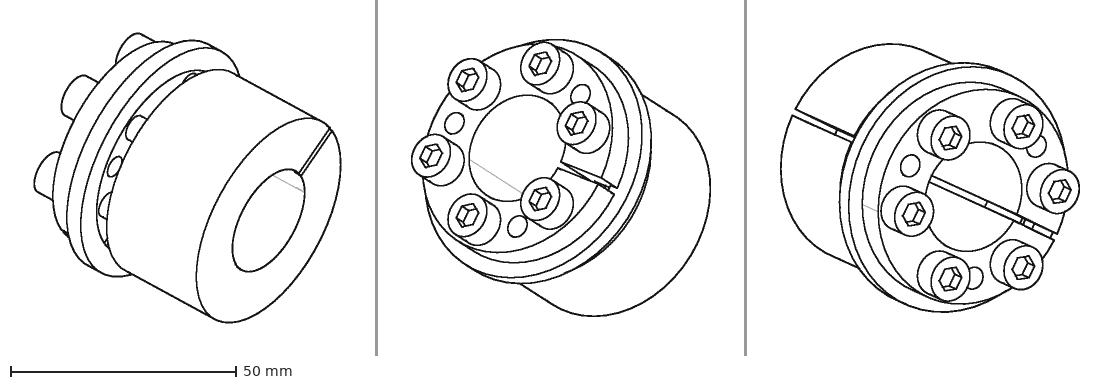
import cadquery as cq
import math


flange_length = 7.0
collar_length = 4.05
gap_length = 5.0
outer_ring_length = 26.0
head_height = 6.0

collar_start = flange_length
collar_end = collar_start + collar_length
outer_ring_start = collar_end + gap_length
outer_ring_end = outer_ring_start + outer_ring_length

bore_diameter = 25.0
flange_diameter = 49.0
collar_diameter = 56.0
collar_seat_diameter = 45.0
outer_ring_diameter = 50.0

cone_mouth_radius = 14.6
cone_tip_radius = 12.55
cone_slope = (cone_mouth_radius - cone_tip_radius) / outer_ring_length
sleeve_root_radius = cone_mouth_radius + cone_slope * gap_length

pitch_radius = 18.75
screw_angles = [60 * i for i in range(6)]
jacking_angles = [30, 150, 270]
jacking_diameter = 5.0
head_diameter = 10.0
shank_diameter = 6.0
shank_length = 30.0
hex_across_flats = 5.0
hex_across_corners = hex_across_flats / math.cos(math.radians(30))
socket_depth = 3.0

slit_width = 1.5
inner_slit_angle = 210
outer_slit_angle = 30


def cylinder(diameter, start, length, center=(0, 0)):
    """Cylinder along X from x = start, centered at (y, z)."""
    return cq.Workplane("YZ", origin=(start, *center)).circle(diameter / 2).extrude(length)


def pitch_point(angle):
    """Point (y, z) on the pitch circle at an angle from +Y toward +Z."""
    turn = math.radians(angle)
    return pitch_radius * math.cos(turn), pitch_radius * math.sin(turn)


def revolved(profile):
    """Solid of revolution about X from (x, radius) points."""
    return cq.Workplane("XY").polyline(profile).close().revolve(360, (0, 0, 0), (1, 0, 0))


def slit(angle):
    """Full-length radial slab that cuts one side of a ring."""
    slab = cq.Workplane("XY").box(
        outer_ring_end, collar_diameter, slit_width, centered=(False, False, True)
    )
    return slab.rotate((0, 0, 0), (1, 0, 0), angle)


def cut_screw_holes(ring):
    """Cut holes that fit the screw shanks."""
    for angle in screw_angles:
        ring = ring.cut(cylinder(shank_diameter, 0, shank_length, pitch_point(angle)))
    return ring


def make_inner_ring():
    """Flange with a seat for the collar, then a conical sleeve to the far end."""
    bore_radius = bore_diameter / 2
    flange_radius = flange_diameter / 2
    seat_radius = collar_seat_diameter / 2
    ring = revolved([
        (0, bore_radius),
        (0, flange_radius),
        (collar_start, flange_radius),
        (collar_start, seat_radius),
        (collar_end, seat_radius),
        (collar_end, sleeve_root_radius),
        (outer_ring_end, cone_tip_radius),
        (outer_ring_end, bore_radius),
    ])
    for angle in jacking_angles:
        ring = ring.cut(cylinder(jacking_diameter, 0, collar_end, pitch_point(angle)))
    return cut_screw_holes(ring).cut(slit(inner_slit_angle))


def make_collar():
    """Plain unslit ring seated behind the flange."""
    disc = cylinder(collar_diameter, collar_start, collar_length)
    return disc.cut(cylinder(collar_seat_diameter, collar_start, collar_length))


def make_outer_ring():
    """Slit cylinder with a conical bore and blind holes for the screws."""
    outer_radius = outer_ring_diameter / 2
    ring = revolved([
        (outer_ring_start, cone_mouth_radius),
        (outer_ring_start, outer_radius),
        (outer_ring_end, outer_radius),
        (outer_ring_end, cone_tip_radius),
    ])
    return cut_screw_holes(ring).cut(slit(outer_slit_angle))


def make_screw(angle):
    """Socket head screw, with two corners of the hexagon along Y."""
    center = pitch_point(angle)
    head = cylinder(head_diameter, -head_height, head_height, center)
    shank = cylinder(shank_diameter, 0, shank_length, center)
    socket = (
        cq.Workplane("YZ", origin=(-head_height, *center))
        .polygon(6, hex_across_corners)
        .extrude(socket_depth)
    )
    return head.union(shank).cut(socket)


inner_ring = make_inner_ring()
collar = make_collar()
outer_ring = make_outer_ring()
screws = [make_screw(angle) for angle in screw_angles]

result = cq.Compound.makeCompound([
    inner_ring.solids().val(),
    collar.solids().val(),
    outer_ring.solids().val(),
    *[screw.solids().val() for screw in screws],
])